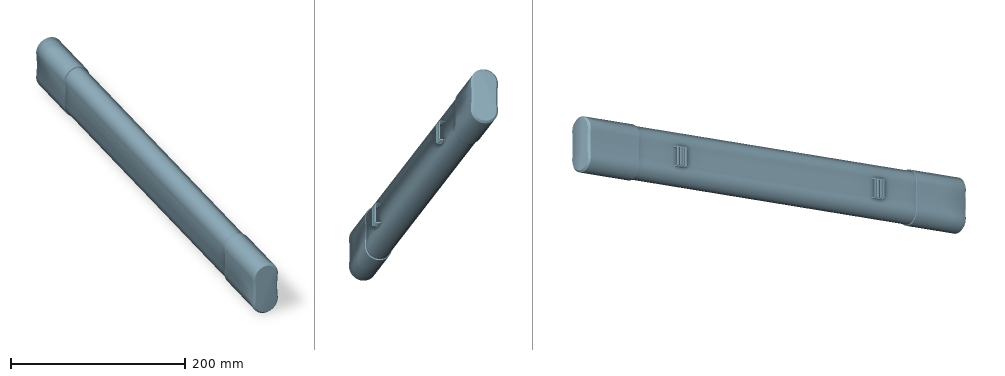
import cadquery as cq
import math

TOTAL_LENGTH = 575.0
HALF_LENGTH = TOTAL_LENGTH / 2

CAP_HEIGHT = 65.5
CAP_LOBE_RADIUS = 16.0
SIDE_HOLLOW_DEPTH = 0.85
CAP_WAIST_HALF = CAP_LOBE_RADIUS - SIDE_HOLLOW_DEPTH
LOBE_CENTRE_Z = CAP_HEIGHT / 2 - CAP_LOBE_RADIUS

CAP_LENGTH = 76.5
CAP_WALL = 1.45
SOCKET_DEPTH = 11.5
CAP_END_CHAMFER = 2.5
BAR_LENGTH = TOTAL_LENGTH - 2 * (CAP_LENGTH - SOCKET_DEPTH)

STRAP_GROUP_OFFSET = 150.0
STRAP_COUNT = 4
STRAP_WIDTH = 2.0
STRAP_PITCH = 2 * STRAP_WIDTH
STRAP_HEIGHT = 23.5
STRAP_BACK_Y = 21.0
STRAP_CORNER_RADIUS = 2.0
STRAP_WALL = 1.0


def lobed_prism(inset, x_start, length):
    """Prism along +X whose section is the cap outline moved inward by `inset`."""
    lobe = CAP_LOBE_RADIUS - inset
    waist = CAP_WAIST_HALF - inset
    top = LOBE_CENTRE_Z + lobe

    hollow = (LOBE_CENTRE_Z**2 + waist**2 - lobe**2) / (2 * (lobe - waist))
    lean = math.asin(LOBE_CENTRE_Z / (hollow + lobe))
    join_y = lobe * math.cos(lean)
    join_z = LOBE_CENTRE_Z - lobe * math.sin(lean)

    return (
        cq.Workplane("YZ", origin=(x_start, 0, 0))
        .moveTo(join_y, join_z)
        .threePointArc((waist, 0), (join_y, -join_z))
        .threePointArc((0, -top), (-join_y, -join_z))
        .threePointArc((-waist, 0), (-join_y, join_z))
        .threePointArc((0, top), (join_y, join_z))
        .close()
        .extrude(length)
    )


def strap_block(x_centre, inset, corner_radius):
    """Strap outline moved inward by `inset`, filled solid from the middle of the bar to its back."""
    height = STRAP_HEIGHT - 2 * inset
    return (
        cq.Workplane("XY")
        .box(STRAP_WIDTH, STRAP_BACK_Y - inset, height, centered=(True, False, True))
        .edges("|X and >Y")
        .fillet(corner_radius)
        .translate((x_centre, 0, 0))
    )


def make_strap(x_centre):
    """Thin U-shaped loop, open along X, with both legs rooted in the bar."""
    outer = strap_block(x_centre, 0, STRAP_CORNER_RADIUS)
    opening = strap_block(x_centre, STRAP_WALL, STRAP_CORNER_RADIUS - STRAP_WALL)
    return outer.cut(opening)


def make_bar():
    bar = lobed_prism(CAP_WALL, -BAR_LENGTH / 2, BAR_LENGTH)
    for group_x in (-STRAP_GROUP_OFFSET, STRAP_GROUP_OFFSET):
        for index in range(STRAP_COUNT):
            strap_x = group_x + (index - (STRAP_COUNT - 1) / 2) * STRAP_PITCH
            bar = bar.union(make_strap(strap_x))
    return bar


def make_end_cap(side):
    """End cap with its closed end at x = side * HALF_LENGTH; side is -1 or +1."""
    cap = lobed_prism(0, -HALF_LENGTH, CAP_LENGTH)
    cap = cap.faces("<X").edges().chamfer(CAP_END_CHAMFER)
    socket_floor_x = -HALF_LENGTH + CAP_LENGTH - SOCKET_DEPTH
    cap = cap.cut(lobed_prism(CAP_WALL, socket_floor_x, SOCKET_DEPTH))
    if side > 0:
        cap = cap.mirror("YZ")
    return cap


bar = make_bar()
end_caps = [make_end_cap(side) for side in (-1, 1)]

result = cq.Compound.makeCompound([bar.val(), *[cap.val() for cap in end_caps]])